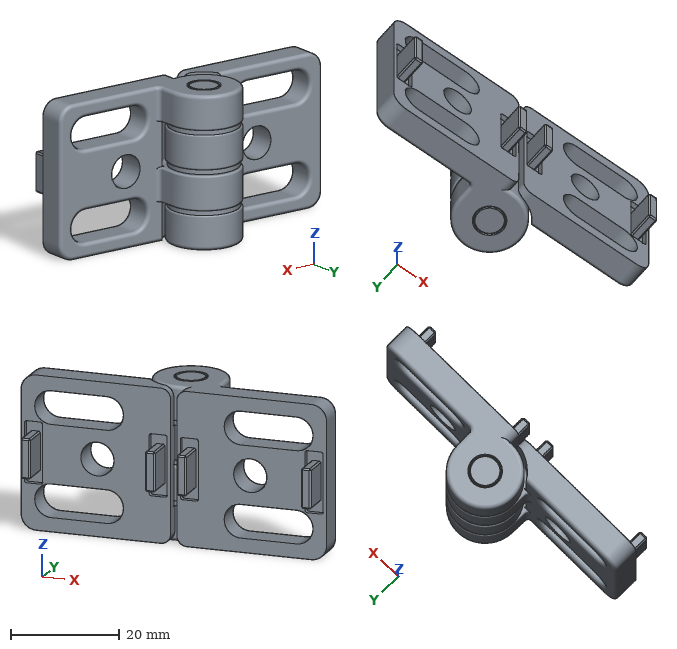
import cadquery as cq
import math


barrel_radius = 7.2
axis_y = 9.5
flank_draft_degrees = 1.2
foot_radius = 0.85
knuckle_length = 6.7
knuckle_inner_edge_radius = 0.35
clearance_radius = 7.8
clearance_root_radius = 0.35
bore_diameter = 6.0
pin_diameter = 5.8
pin_end_chamfer = 0.2
bore_end_chamfer = 0.2
washer_diameter = 13.7
washer_thickness = 0.9

swing_degrees = 0.1
swing = math.radians(swing_degrees)

hinge_width = 60.05
leaf_gap = 1.2
plate_height = 30.0
plate_thickness = 5.5
outer_corner_radius = 3.0
inner_corner_radius = 2.0
back_edge_radius = 0.7
plate_inner_x = leaf_gap / 2
plate_outer_x = (hinge_width - axis_y * math.sin(swing)) / (1 + math.cos(swing))
plate_center_x = (plate_inner_x + plate_outer_x) / 2

hole_diameter = 6.5
hole_x = 15.0
slot_length = 17.4
slot_width = hole_diameter
slot_x = 18.6
slot_spacing = 18.0

tab_spacing = 24.5
tab_width = 1.9
tab_height = 7.8
tab_reach = 4.5
tab_chamfer = 0.3
pocket_width = 3.55
pocket_height = 12.0
pocket_depth = 1.0
pocket_corner_radius = 0.5

barrel_length = 29.9
barrel_top = barrel_length / 2
end_knuckle_bottom = barrel_top - knuckle_length
mid_knuckle_bottom = washer_thickness - end_knuckle_bottom
mid_knuckle_top = mid_knuckle_bottom + knuckle_length
plate_center_z = barrel_top - plate_height / 2


def cylinder(diameter, bottom, length):
    """Cylinder on the pin axis."""
    return (
        cq.Workplane("XY", origin=(0, axis_y, bottom))
        .circle(diameter / 2)
        .extrude(length)
    )


def block(width, height, x, z, y_start, y_end):
    """Box centred on (x, z) that spans y_start to y_end."""
    return (
        cq.Workplane("XY", origin=(x, y_start, z))
        .box(width, y_end - y_start, height, centered=(True, False, True))
    )


def make_plate():
    """Plate with its slots and mounting hole. The back edges of plate and slots are rounded."""
    plate = block(
        plate_outer_x - plate_inner_x,
        plate_height,
        plate_center_x,
        plate_center_z,
        0,
        plate_thickness,
    )
    plate = plate.edges("|Y and >X").fillet(outer_corner_radius)
    plate = plate.edges("|Y and <X").fillet(inner_corner_radius)
    slots = (
        cq.Workplane("XZ", origin=(slot_x, 0, plate_center_z))
        .rarray(0.6, slot_spacing, 1, 2)
        .slot2D(slot_length, slot_width)
        .extrude(-plate_thickness)
    )
    plate = plate.cut(slots).faces(">Y").edges().fillet(back_edge_radius)
    hole = (
        cq.Workplane("XZ", origin=(hole_x, 0, plate_center_z))
        .circle(hole_diameter / 2)
        .extrude(-plate_thickness)
    )
    return plate.cut(hole)


def make_knuckle(bottom, bottom_edge_radius, top_edge_radius):
    """Barrel section with a drafted flank and a rounded foot that runs into the plate."""
    draft = math.radians(flank_draft_degrees)
    barrel_bottom_y = axis_y - barrel_radius
    tangent_x = barrel_radius * math.cos(draft)
    tangent_y = axis_y + barrel_radius * math.sin(draft)

    foot_center_y = plate_thickness + foot_radius
    flank_end_y = foot_center_y + foot_radius * math.sin(draft)
    flank_end_x = tangent_x + (tangent_y - flank_end_y) * math.tan(draft)
    foot_end_x = flank_end_x + foot_radius * math.cos(draft)
    foot_mid_angle = 1.25 * math.pi - draft / 2
    foot_mid = (
        foot_end_x + foot_radius * math.cos(foot_mid_angle),
        foot_center_y + foot_radius * math.sin(foot_mid_angle),
    )

    knuckle = (
        cq.Workplane("XY", origin=(0, 0, bottom))
        .moveTo(0, barrel_bottom_y)
        .lineTo(foot_end_x, barrel_bottom_y)
        .lineTo(foot_end_x, plate_thickness)
        .threePointArc(foot_mid, (flank_end_x, flank_end_y))
        .lineTo(tangent_x, tangent_y)
        .threePointArc((-barrel_radius, axis_y), (0, barrel_bottom_y))
        .close()
        .extrude(knuckle_length)
    )
    knuckle = knuckle.faces("<Z").edges("not >X").fillet(bottom_edge_radius)
    return knuckle.faces(">Z").edges("not >X").fillet(top_edge_radius)


def cut_clearance(plate):
    """Round the plate away beside its own knuckles, with a rounded root where it meets them."""
    below_plate = plate_center_z - plate_height / 2 - clearance_root_radius
    spans = (
        (end_knuckle_bottom, mid_knuckle_top),
        (mid_knuckle_bottom, below_plate),
    )
    for top, bottom in spans:
        clearance = cylinder(2 * clearance_radius, bottom, top - bottom)
        plate = plate.cut(clearance.edges().fillet(clearance_root_radius))
    return plate


def cut_bore(leaf):
    """Pin bore through both knuckles, chamfered at the outer end of the hinge."""
    bore = cylinder(bore_diameter, -barrel_top, barrel_length)
    mouth = (
        cq.Workplane("XY", origin=(0, axis_y, barrel_top))
        .circle(bore_diameter / 2 + bore_end_chamfer)
        .extrude(-bore_end_chamfer, taper=45)
    )
    return leaf.cut(bore).cut(mouth)


def add_tabs(leaf):
    """Two pockets in the mounting face, each with a chamfered tab rising from its floor."""
    for side in (-1, 1):
        x = plate_center_x + side * tab_spacing / 2
        pocket = block(pocket_width, pocket_height, x, plate_center_z, 0, pocket_depth)
        pocket = pocket.edges("|Y").fillet(pocket_corner_radius)
        tab = block(tab_width, tab_height, x, plate_center_z, -tab_reach, pocket_depth)
        tab = tab.edges("|Y or <Y").chamfer(tab_chamfer)
        leaf = leaf.cut(pocket).union(tab)
    return leaf


def make_leaf():
    """Leaf on the +X side, with the topmost knuckle."""
    end_knuckle = make_knuckle(end_knuckle_bottom, knuckle_inner_edge_radius, back_edge_radius)
    mid_knuckle = make_knuckle(
        mid_knuckle_bottom, knuckle_inner_edge_radius, knuckle_inner_edge_radius
    )
    leaf = cut_clearance(make_plate()).union(end_knuckle).union(mid_knuckle)
    return add_tabs(cut_bore(leaf))


def make_pin():
    pin = cylinder(pin_diameter, -barrel_top, barrel_length)
    return pin.faces("<Z or >Z").edges().chamfer(pin_end_chamfer)


def make_washer(top):
    bottom = top - washer_thickness
    ring = cylinder(washer_diameter, bottom, washer_thickness)
    return ring.cut(cylinder(bore_diameter, bottom, washer_thickness))


right_leaf = make_leaf()
left_leaf = (
    right_leaf
    .rotate((0, 0, 0), (0, 1, 0), 180)
    .rotate((0, axis_y, 0), (0, axis_y, 1), -swing_degrees)
)
pin = make_pin()

washer_tops = (end_knuckle_bottom, -mid_knuckle_top, mid_knuckle_bottom)
washers = [make_washer(top) for top in washer_tops]

result = cq.Compound.makeCompound([
    right_leaf.val(),
    left_leaf.val(),
    pin.val(),
    *[washer.val() for washer in washers],
])